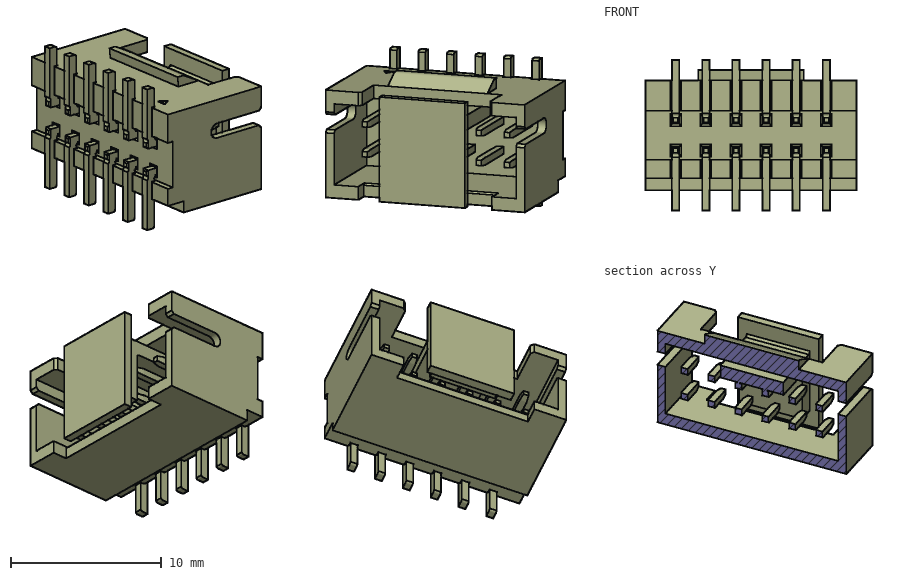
import cadquery as cq


housing_width = 14.0
housing_height = 7.3
half_width = housing_width / 2
half_height = housing_height / 2
flange_y = 0.33
recess_y = 0.755
recess_half_height = 1.63
step_y = 1.7
step_z = -2.84
mouth_y = 8.44
long_wall = 0.9
side_wall = 0.6
floor_y = 2.0
cavity_half_height = half_height - long_wall

notch_half_width = 4.5
notch_y = 5.95
bottom_lip_y = 7.33
lip_chamfer = 0.13
mouth_chamfer = 0.2
flare_half_width = notch_half_width + mouth_chamfer
slot_bottom = 0.94
slot_top = 1.97
slot_end_y = 4.1

ramp_width = 7.0
ramp_height = 0.7
ramp_heel_y = 4.2
ramp_crest_y = 4.13
ramp_round_start_y = 4.74
ramp_round_end_y = 4.5
ramp_round_start_drop = 0.06

mark_x = 5.0
mark_base_y = 1.45
mark_width = 0.68
mark_length = 0.54
mark_depth = 0.05

pins_per_row = 6
pin_pitch = 2.0
row_z = 1.015
pin_size = 0.5
half_pin = pin_size / 2
pin_end_z = 5.0
leg_back_y = 0.62
leg_end_round_length = 0.19
leg_end_round_drop = 0.1
nick_top_z = 1.46
nick_bevel_z = 1.39
nick_bevel_y = 0.06
nick_deepest_y = 0.1
nick_deepest_z = 1.31
bend_clearance_z = 1.35
bend_chamfer = 0.12
stub_chamfer = 0.1
contact_y = 6.28
contact_taper_y = 5.79
contact_tip_size = 0.36

groove_width = 0.56
groove_mouth_width = 0.74
groove_chamfer_depth = 0.04
groove_floor_y = 0.65
funnel_width = 0.74
funnel_height = 0.82
funnel_depth = 0.13

cap_outer_y = 9.03
cap_plate_y = 8.45
cap_plate_width = 6.0
cap_plate_top = 3.58
cap_plate_bottom = -3.53
cap_body_width = 4.68
cap_arm_bottom = 1.27
cap_arm_top = 2.27
cap_arm_chamfer = 0.17
cap_block_y = 7.31
cap_corner_radius = 0.15

pin_positions = [(i - (pins_per_row - 1) / 2) * pin_pitch for i in range(pins_per_row)]


def box(x_range, y_range, z_range):
    """Box given by its lower and upper limits on each axis."""
    size = [high - low for low, high in (x_range, y_range, z_range)]
    return cq.Workplane("XY").box(*size, centered=False).translate((x_range[0], y_range[0], z_range[0]))


def side_profile(points, width):
    """Closed (Y, Z) polygon extruded symmetrically about X = 0."""
    return cq.Workplane("YZ").polyline(points).close().extrude(width / 2, both=True)


def frustum(y_start, start_size, y_end, end_size):
    """Rectangular frustum along Y, centred on a pin of the upper row."""
    return (
        cq.Workplane("XZ", origin=(0, y_start, row_z))
        .rect(*start_size)
        .workplane(offset=y_start - y_end)
        .rect(*end_size)
        .loft(combine=True)
    )


def housing_shell():
    shell = side_profile(
        [
            (mouth_y, half_height),
            (flange_y, half_height),
            (flange_y, recess_half_height),
            (recess_y, recess_half_height),
            (recess_y, -recess_half_height),
            (flange_y, -recess_half_height),
            (flange_y, step_z),
            (step_y, step_z),
            (step_y, -half_height),
            (mouth_y, -half_height),
        ],
        housing_width,
    )
    inner_half_width = half_width - side_wall
    cavity = box(
        (-inner_half_width, inner_half_width),
        (floor_y, mouth_y),
        (-cavity_half_height, cavity_half_height),
    )
    return shell.cut(cavity)


def top_notch():
    """Latch opening in the top wall, chamfered where it meets the mouth."""
    return (
        cq.Workplane("XY")
        .polyline(
            [
                (-notch_half_width, notch_y),
                (notch_half_width, notch_y),
                (notch_half_width, mouth_y - mouth_chamfer),
                (flare_half_width, mouth_y),
                (-flare_half_width, mouth_y),
                (-notch_half_width, mouth_y - mouth_chamfer),
            ]
        )
        .close()
        .extrude(half_height)
    )


def bottom_notch():
    """Shallow set-back of the bottom wall, with a lead-in chamfer on its inner edge."""
    return side_profile(
        [
            (bottom_lip_y, -half_height),
            (bottom_lip_y, -cavity_half_height - lip_chamfer),
            (bottom_lip_y - lip_chamfer, -cavity_half_height),
            (mouth_y, -cavity_half_height),
            (mouth_y, -half_height),
        ],
        2 * flare_half_width,
    )


def side_slots():
    """Round-ended slot through both side walls, chamfered at the mouth."""
    radius = (slot_top - slot_bottom) / 2
    return (
        cq.Workplane("YZ")
        .moveTo(mouth_y, slot_top + mouth_chamfer)
        .lineTo(mouth_y - mouth_chamfer, slot_top)
        .lineTo(slot_end_y + radius, slot_top)
        .threePointArc((slot_end_y, slot_top - radius), (slot_end_y + radius, slot_bottom))
        .lineTo(mouth_y - mouth_chamfer, slot_bottom)
        .lineTo(mouth_y, slot_bottom - mouth_chamfer)
        .close()
        .extrude(half_width, both=True)
    )


def latch_ramp():
    """Undercut wedge with a rounded crest, rising from the edge of the top notch."""
    crest_z = half_height + ramp_height
    round_start = (ramp_round_start_y, crest_z - ramp_round_start_drop)
    return (
        cq.Workplane("YZ")
        .moveTo(notch_y, half_height)
        .lineTo(*round_start)
        .spline(
            [(ramp_round_end_y, crest_z)],
            tangents=[(round_start[0] - notch_y, round_start[1] - half_height), (-1, 0)],
            includeCurrent=True,
        )
        .lineTo(ramp_crest_y, crest_z)
        .lineTo(ramp_heel_y, half_height)
        .close()
        .extrude(ramp_width / 2, both=True)
    )


def pin_one_mark():
    return (
        cq.Workplane("XY", origin=(mark_x, mark_base_y, half_height - mark_depth))
        .polyline([(-mark_width / 2, 0), (mark_width / 2, 0), (0, mark_length)])
        .close()
        .extrude(mark_depth)
    )


def pin():
    """Right-angle pin of the upper row: solder leg, nicked bend with chamfered stub, and tapered contact."""
    top = row_z + half_pin
    bottom = row_z - half_pin
    stub_top = top - stub_chamfer
    leg_end_radius = (leg_end_round_length**2 + leg_end_round_drop**2) / (2 * leg_end_round_drop)
    body = (
        cq.Workplane("YZ")
        .moveTo(0, pin_end_z)
        .lineTo(leg_back_y - leg_end_round_length, pin_end_z)
        .radiusArc((leg_back_y, pin_end_z - leg_end_round_drop), leg_end_radius)
        .lineTo(leg_back_y, bend_clearance_z + bend_chamfer)
        .lineTo(leg_back_y + bend_chamfer, bend_clearance_z)
        .lineTo(recess_y, top)
        .lineTo(contact_taper_y, top)
        .lineTo(contact_taper_y, bottom)
        .lineTo(0, bottom)
        .lineTo(0, stub_top)
        .threePointArc((nick_deepest_y, nick_deepest_z), (nick_bevel_y, nick_bevel_z))
        .lineTo(0, nick_top_z)
        .close()
        .extrude(half_pin, both=True)
    )
    stub_edges = cq.selectors.BoxSelector(
        (-pin_size, -stub_chamfer / 2, 0), (pin_size, stub_chamfer / 2, stub_top - stub_chamfer / 2)
    )
    body = body.edges(stub_edges).chamfer(stub_chamfer)
    contact_tip = frustum(
        contact_taper_y, (pin_size, pin_size), contact_y, (contact_tip_size, contact_tip_size)
    )
    return body.union(contact_tip)


def pin_relief():
    """Chamfered flange groove for the solder leg and the funnel around the pin in the recess face."""
    half_groove = groove_width / 2
    half_mouth = groove_mouth_width / 2
    chamfer_y = flange_y + groove_chamfer_depth
    groove = (
        cq.Workplane("XY", origin=(0, 0, recess_half_height))
        .polyline(
            [
                (-half_mouth, flange_y),
                (half_mouth, flange_y),
                (half_groove, chamfer_y),
                (half_groove, groove_floor_y),
                (-half_groove, groove_floor_y),
                (-half_groove, chamfer_y),
            ]
        )
        .close()
        .extrude(half_height - recess_half_height)
    )
    funnel = frustum(
        recess_y, (funnel_width, funnel_height), recess_y + funnel_depth, (pin_size, pin_size)
    )
    return groove.union(funnel)


def in_both_rows(upper):
    """Copies of an upper-row shape at every pin position, mirrored into the lower row."""
    pair = [upper, upper.mirror("XY")]
    return [shape.translate((x, 0, 0)) for x in pin_positions for shape in pair]


def cap():
    """Plate across the mouth with a block behind it and an arm reaching the cavity floor."""
    plate = box(
        (-cap_plate_width / 2, cap_plate_width / 2),
        (cap_plate_y, cap_outer_y),
        (cap_plate_bottom, cap_plate_top),
    )
    body = (
        cq.Workplane("YZ")
        .moveTo(cap_plate_y, cap_arm_top + cap_arm_chamfer)
        .lineTo(cap_plate_y - cap_arm_chamfer, cap_arm_top)
        .lineTo(floor_y, cap_arm_top)
        .lineTo(floor_y, cap_arm_bottom)
        .lineTo(cap_block_y - cap_corner_radius, cap_arm_bottom)
        .radiusArc((cap_block_y, cap_arm_bottom - cap_corner_radius), cap_corner_radius)
        .lineTo(cap_block_y, -cap_arm_top)
        .lineTo(cap_plate_y, -cap_arm_top)
        .close()
        .extrude(cap_body_width / 2, both=True)
    )
    return plate.union(body)


part = housing_shell().cut(top_notch()).cut(bottom_notch()).cut(side_slots())
part = part.union(latch_ramp()).cut(pin_one_mark())
for relief in in_both_rows(pin_relief()):
    part = part.cut(relief)
for pin_copy in in_both_rows(pin()):
    part = part.union(pin_copy)
part = part.union(cap())

result = part